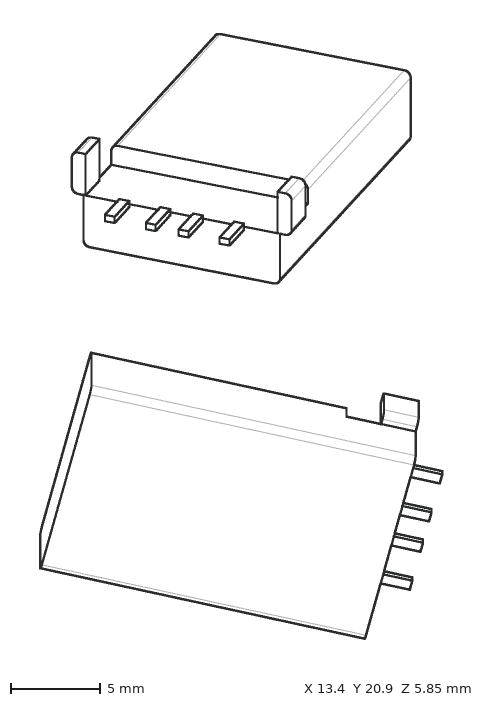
import cadquery as cq

overall_width = 13.43
overall_length = 20.85
overall_height = 5.85

shell_width = 12.0
shell_height = 4.5
deck_height = 3.23
deck_length = 4.0
edge_radius = 0.4

tab_thickness = 0.85
tab_length = 2.0

pin_length = 2.08
pin_width = 0.6
pin_height = 0.4
inner_pin_offset = 1.0
outer_pin_offset = 3.5

shell_length = overall_length - pin_length
tab_height = overall_height - deck_height
tab_center_x = (overall_width - tab_thickness) / 2


def box_from(x_center, y_start, z_start, width, length, height):
    """Box centred on x_center, extending in +Y and +Z from its start."""
    box = cq.Workplane("XY").box(width, length, height, centered=(True, False, False))
    return box.translate((x_center, y_start, z_start))


def make_shell():
    """Block with rounded long edges, cut down to the deck at the pin end."""
    block = box_from(0, 0, 0, shell_width, shell_length, shell_height)
    block = block.edges("|Y").fillet(edge_radius)
    step = box_from(0, 0, deck_height, shell_width, deck_length, shell_height - deck_height)
    return block.cut(step)


def make_tab(side):
    """Tab with rounded outer edges; side is -1 or +1 along X."""
    tab = box_from(side * tab_center_x, 0, deck_height, tab_thickness, tab_length, tab_height)
    outer_face = ">X" if side > 0 else "<X"
    return tab.faces(outer_face).edges("|Y").fillet(edge_radius)


def make_pin(x_center):
    """Straight pin projecting from the end face of the shell."""
    pin_bottom = deck_height - pin_height / 2
    return box_from(x_center, -pin_length, pin_bottom, pin_width, pin_length, pin_height)


result = make_shell()
for side in (-1, 1):
    result = result.union(make_tab(side))
    for offset in (inner_pin_offset, outer_pin_offset):
        result = result.union(make_pin(side * offset))